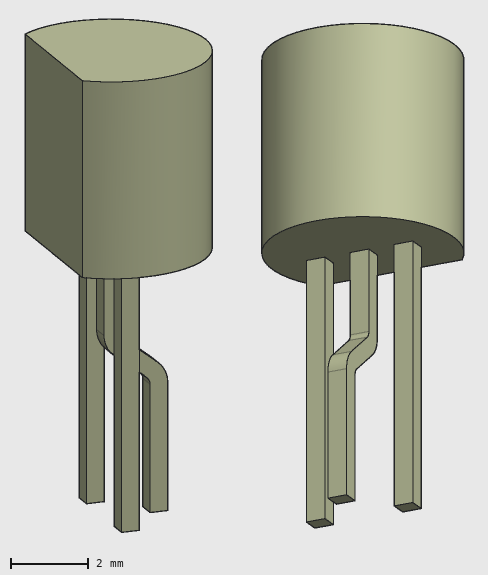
import cadquery as cq
import math

total_height = 12.53
housing_diameter = 5.2
housing_depth = 4.19
housing_height = 5.33
housing_radius = housing_diameter / 2
flat_y = housing_radius - housing_depth
flat_half_width = math.sqrt(housing_radius**2 - flat_y**2)
lead_length = total_height - housing_height

lead_pitch = 1.27
lead_width = 0.54
lead_thickness = 0.49
lead_center_y = -0.056

joggle_offset = lead_pitch
joggle_drop = 0.99
upper_corner_z = -2.5
lower_corner_z = upper_corner_z - joggle_drop
inner_bend_radius = 0.24
outer_bend_radius = inner_bend_radius + lead_thickness


def make_housing():
    return (
        cq.Workplane("XY")
        .moveTo(-flat_half_width, flat_y)
        .threePointArc((0, housing_radius), (flat_half_width, flat_y))
        .close()
        .extrude(housing_height)
    )


def make_straight_lead(x):
    return (
        cq.Workplane("XY")
        .center(x, lead_center_y)
        .rect(lead_width, lead_thickness)
        .extrude(-lead_length)
    )


def make_joggled_lead():
    bend_angle = math.atan2(joggle_offset, joggle_drop)
    miter_shift = lead_thickness / 2 * math.tan(bend_angle / 2)
    front_y = lead_center_y - lead_thickness / 2
    back_y = lead_center_y + lead_thickness / 2

    front_upper = (front_y, upper_corner_z - miter_shift)
    front_lower = (front_y + joggle_offset, lower_corner_z - miter_shift)
    back_upper = (back_y, upper_corner_z + miter_shift)
    back_lower = (back_y + joggle_offset, lower_corner_z + miter_shift)
    outline = [
        (front_y, 0),
        front_upper,
        front_lower,
        (front_y + joggle_offset, -lead_length),
        (back_y + joggle_offset, -lead_length),
        back_lower,
        back_upper,
        (back_y, 0),
    ]
    lead = cq.Workplane("YZ").polyline(outline).close().extrude(lead_width / 2, both=True)

    outer_corners = [front_upper, back_lower]
    inner_corners = [front_lower, back_upper]
    for corners, radius in ((outer_corners, outer_bend_radius), (inner_corners, inner_bend_radius)):
        for y, z in corners:
            lead = lead.edges(cq.selectors.NearestToPointSelector((0, y, z))).fillet(radius)
    return lead


housing = make_housing()
outer_leads = [make_straight_lead(side * lead_pitch) for side in (-1, 1)]
middle_lead = make_joggled_lead()

result = cq.Compound.makeCompound(
    [housing.val(), *[lead.val() for lead in outer_leads], middle_lead.val()]
)